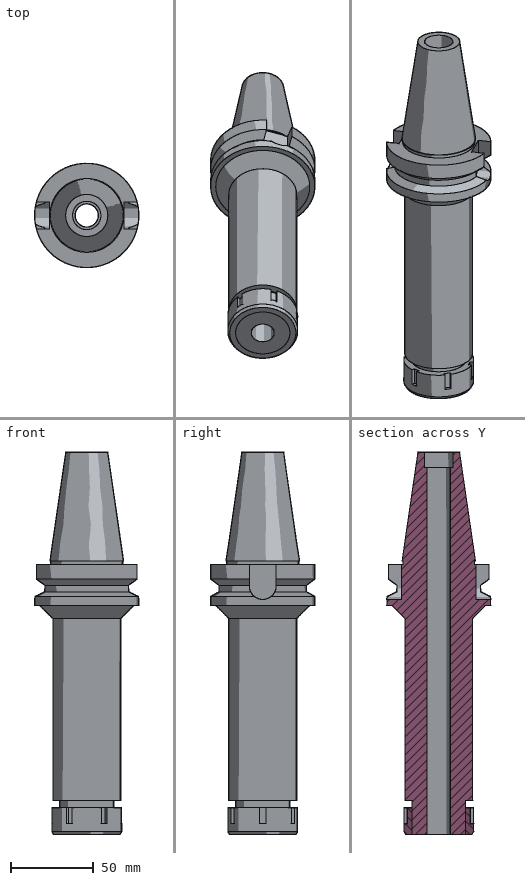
import cadquery as cq

TOTAL_HEIGHT = 230.5
GAUGE_Z = 165.0
FLANGE_TOP_Z = 163.0
GROOVE_TOP_OUTER_Z = 154.0
GROOVE_TOP_INNER_Z = 150.2
GROOVE_BOTTOM_INNER_Z = 146.3
GROOVE_BOTTOM_OUTER_Z = 143.5
FLANGE_BOTTOM_Z = 138.0
SHANK_BOTTOM_Z = 20.5
NUT_HEIGHT = 16.4

FLANGE_DIAMETER = 63.0
GROOVE_DIAMETER = 53.0
TAPER_LARGE_DIAMETER = 44.5
TAPER_SMALL_DIAMETER = 25.3
RELIEF_DIAMETER = 43.5
SHOULDER_DIAMETER = 56.7
SHANK_DIAMETER = 41.0
NOSE_DIAMETER = 32.7

SHOULDER_BOTTOM_Z = FLANGE_BOTTOM_Z - (SHOULDER_DIAMETER - SHANK_DIAMETER) / 2

BORE_DIAMETER = 13.8
COUNTERBORE_DIAMETER = 17.0
COUNTERBORE_DEPTH = 9.2

KEYWAY_WIDTH = 16.1
KEYWAY_FLOOR_X = 22.5
KEYWAY_BOTTOM_Z = 141.7

NUT_DIAMETER = 42.2
NUT_CHAMFER_HEIGHT = 1.8
NUT_CHAMFER_WIDTH = 1.2
NUT_SLOT_COUNT = 6
NUT_SLOT_WIDTH = 3.7
NUT_SLOT_DEPTH = 2.0
NUT_SLOT_BOTTOM_Z = 6.7


def make_holder_blank():
    """Revolve the taper, flange, shank and nose about the Z axis."""
    profile = [
        (0, 0),
        (NOSE_DIAMETER / 2, 0),
        (NOSE_DIAMETER / 2, SHANK_BOTTOM_Z),
        (SHANK_DIAMETER / 2, SHANK_BOTTOM_Z),
        (SHANK_DIAMETER / 2, SHOULDER_BOTTOM_Z),
        (SHOULDER_DIAMETER / 2, FLANGE_BOTTOM_Z),
        (FLANGE_DIAMETER / 2, FLANGE_BOTTOM_Z),
        (FLANGE_DIAMETER / 2, GROOVE_BOTTOM_OUTER_Z),
        (GROOVE_DIAMETER / 2, GROOVE_BOTTOM_INNER_Z),
        (GROOVE_DIAMETER / 2, GROOVE_TOP_INNER_Z),
        (FLANGE_DIAMETER / 2, GROOVE_TOP_OUTER_Z),
        (FLANGE_DIAMETER / 2, FLANGE_TOP_Z),
        (RELIEF_DIAMETER / 2, FLANGE_TOP_Z),
        (RELIEF_DIAMETER / 2, GAUGE_Z),
        (TAPER_LARGE_DIAMETER / 2, GAUGE_Z),
        (TAPER_SMALL_DIAMETER / 2, TOTAL_HEIGHT),
        (0, TOTAL_HEIGHT),
    ]
    return cq.Workplane("XZ").polyline(profile).close().revolve(360, (0, 0), (0, 1))


def make_keyway(side):
    """Round-bottomed keyway cutter on the side with the given sign of X."""
    half_width = KEYWAY_WIDTH / 2
    arc_center_z = KEYWAY_BOTTOM_Z + half_width
    return (
        cq.Workplane("YZ", origin=(side * KEYWAY_FLOOR_X, 0, 0))
        .moveTo(-half_width, FLANGE_TOP_Z)
        .lineTo(-half_width, arc_center_z)
        .threePointArc((0, KEYWAY_BOTTOM_Z), (half_width, arc_center_z))
        .lineTo(half_width, FLANGE_TOP_Z)
        .close()
        .extrude(side * FLANGE_DIAMETER / 2)
    )


def make_holder():
    """Tool holder with its through bore, counterbore and two keyways."""
    holder = (
        make_holder_blank()
        .faces(">Z")
        .workplane()
        .cboreHole(BORE_DIAMETER, COUNTERBORE_DIAMETER, COUNTERBORE_DEPTH)
    )
    for side in (-1, 1):
        holder = holder.cut(make_keyway(side))
    return holder


def make_nut_slot(angle):
    """Spanner slot cutter, open at the top and outside of the nut."""
    floor_radius = NUT_DIAMETER / 2 - NUT_SLOT_DEPTH
    return (
        cq.Workplane("XY")
        .box(
            NUT_DIAMETER / 2,
            NUT_SLOT_WIDTH,
            NUT_HEIGHT - NUT_SLOT_BOTTOM_Z,
            centered=(False, True, False),
        )
        .translate((floor_radius, 0, NUT_SLOT_BOTTOM_Z))
        .rotate((0, 0, 0), (0, 0, 1), angle)
    )


def make_nut():
    """Slotted ring fitted around the nose of the holder."""
    radius = NUT_DIAMETER / 2
    profile = [
        (NOSE_DIAMETER / 2, 0),
        (radius - NUT_CHAMFER_WIDTH, 0),
        (radius, NUT_CHAMFER_HEIGHT),
        (radius, NUT_HEIGHT),
        (NOSE_DIAMETER / 2, NUT_HEIGHT),
    ]
    nut = cq.Workplane("XZ").polyline(profile).close().revolve(360, (0, 0), (0, 1))
    for index in range(NUT_SLOT_COUNT):
        nut = nut.cut(make_nut_slot(index * 360 / NUT_SLOT_COUNT))
    return nut


holder = make_holder()
nut = make_nut()
result = cq.Compound.makeCompound([holder.val(), nut.val()])